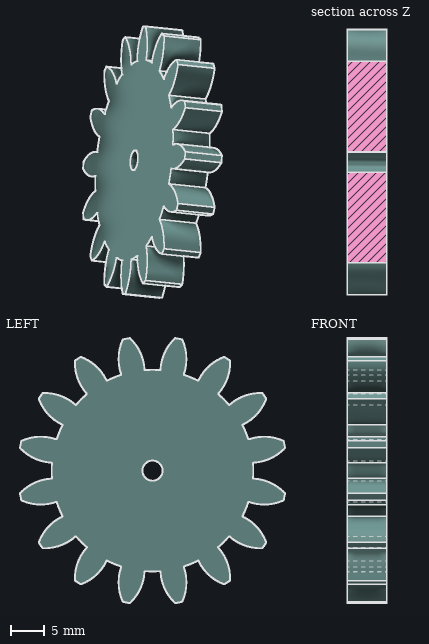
import cadquery as cq
import math

MODULE = 2.25
TEETH = 16
PRESSURE_ANGLE = 20.0
FACE_WIDTH = 6.0
BORE_DIAMETER = 3.0
DEDENDUM_FACTOR = 1.25

FLANK_RADIUS = 6.97
PITCH_HALF_ANGLE = 5.25

pitch_radius = MODULE * TEETH / 2
tip_radius = pitch_radius + MODULE
root_radius = pitch_radius - DEDENDUM_FACTOR * MODULE
base_radius = pitch_radius * math.cos(math.radians(PRESSURE_ANGLE))
tooth_pitch = 360.0 / TEETH
first_tooth_angle = tooth_pitch / 2


def polar(radius, angle):
    """Point at a radius and an angle in degrees."""
    return (radius * math.cos(math.radians(angle)), radius * math.sin(math.radians(angle)))


def angle_from_flank_centre(radius):
    """Angle at the gear axis between the flank-arc centre and the flank at a radius."""
    cosine = (radius**2 + base_radius**2 - FLANK_RADIUS**2) / (2 * radius * base_radius)
    return math.degrees(math.acos(cosine))


def half_angle(radius):
    """Angle from the tooth centreline to its flank at a radius."""
    return PITCH_HALF_ANGLE + angle_from_flank_centre(radius) - angle_from_flank_centre(pitch_radius)


def gear_blank():
    """Toothed profile extruded along the gear axis, centred on the origin."""
    root_half = half_angle(root_radius)
    tip_half = half_angle(tip_radius)
    profile = cq.Workplane("YZ", origin=(-FACE_WIDTH / 2, 0, 0))
    profile = profile.moveTo(*polar(root_radius, first_tooth_angle - root_half))
    for tooth in range(TEETH):
        centre = first_tooth_angle + tooth * tooth_pitch
        tip_start = polar(tip_radius, centre - tip_half)
        tip_end = polar(tip_radius, centre + tip_half)
        gap_start = polar(root_radius, centre + root_half)
        gap_end = polar(root_radius, centre + tooth_pitch - root_half)
        profile = (
            profile
            .threePointArc(polar(pitch_radius, centre - PITCH_HALF_ANGLE), tip_start)
            .threePointArc(polar(tip_radius, centre), tip_end)
            .threePointArc(polar(pitch_radius, centre + PITCH_HALF_ANGLE), gap_start)
            .threePointArc(polar(root_radius, centre + tooth_pitch / 2), gap_end)
        )
    return profile.close().extrude(FACE_WIDTH)


def cut_bore(body):
    """Plain shaft hole through the full face width."""
    return body.faces(">X").workplane(origin=(0, 0, 0)).circle(BORE_DIAMETER / 2).cutThruAll()


result = cut_bore(gear_blank())